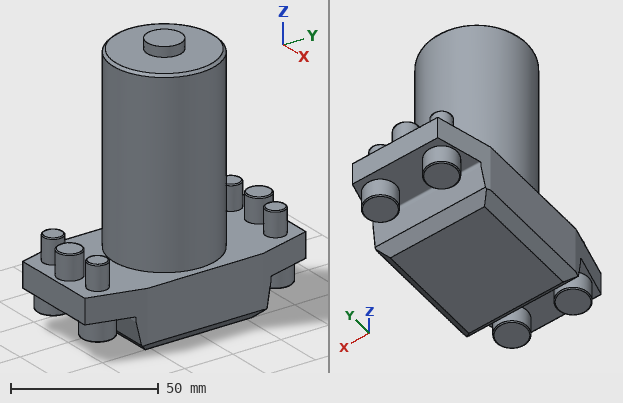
import cadquery as cq

flange_bottom = 15.0
flange_top = 25.0
barrel_top = 99.0
overall_height = 103.0

flange_width = 48.0
flange_length = 92.0
flange_end_width = 36.3
straight_side_length = 48.0

block_top_length = 56.0
block_lower_length = 52.3
block_chamfer = 4.0
block_upright_bottom = 13.0
block_root_radius = 0.6

barrel_diameter = 42.0
barrel_chamfer = 1.0
stub_diameter = 14.0

pin_height = 10.0
dowel_diameter = 9.9
dowel_y = 39.3
screw_diameter = 8.0
screw_head_diameter = 13.0
screw_head_height = 8.0
screw_x = 13.0
screw_y = 37.0
pin_edge_chamfer = 0.4


def cylinder(x, y, bottom, height, diameter):
    return (
        cq.Workplane("XY", origin=(x, y, bottom))
        .circle(diameter / 2)
        .extrude(height)
    )


def tapered_plan(bottom, height):
    """Prism with the tapered-end outline of the flange."""
    half_width = flange_width / 2
    half_length = flange_length / 2
    half_end = flange_end_width / 2
    half_side = straight_side_length / 2
    return (
        cq.Workplane("XY", origin=(0, 0, bottom))
        .polyline([
            (-half_width, -half_side),
            (-half_end, -half_length),
            (half_end, -half_length),
            (half_width, -half_side),
            (half_width, half_side),
            (half_end, half_length),
            (-half_end, half_length),
            (-half_width, half_side),
        ])
        .close()
        .extrude(height)
    )


def make_base():
    """Flange over a block with sloping ends, upright at the top, and a chamfered underside."""
    half_top = block_top_length / 2
    half_lower = block_lower_length / 2
    half_length = flange_length / 2
    half_width = flange_width / 2
    side_profile = (
        cq.Workplane("YZ")
        .polyline([
            (-half_lower + block_chamfer, 0),
            (half_lower - block_chamfer, 0),
            (half_lower, block_chamfer),
            (half_top, block_upright_bottom),
            (half_top, flange_bottom),
            (half_length, flange_bottom),
            (half_length, flange_top),
            (-half_length, flange_top),
            (-half_length, flange_bottom),
            (-half_top, flange_bottom),
            (-half_top, block_upright_bottom),
            (-half_lower, block_chamfer),
        ])
        .close()
        .extrude(half_width, both=True)
    )
    root_reach = 2 * block_root_radius
    root_edges = cq.selectors.BoxSelector(
        (-half_width, -half_top - root_reach, flange_bottom - root_reach),
        (half_width, half_top + root_reach, flange_bottom + root_reach),
    )
    side_profile = side_profile.edges("|X").edges(root_edges).fillet(block_root_radius)
    end_profile = (
        cq.Workplane("XZ")
        .polyline([
            (-half_width + block_chamfer, 0),
            (half_width - block_chamfer, 0),
            (half_width, block_chamfer),
            (half_width, flange_top),
            (-half_width, flange_top),
            (-half_width, block_chamfer),
        ])
        .close()
        .extrude(half_length, both=True)
    )
    return tapered_plan(0, flange_top).intersect(side_profile).intersect(end_profile)


def make_barrel():
    barrel = cylinder(0, 0, flange_top, barrel_top - flange_top, barrel_diameter)
    barrel = barrel.faces(">Z").chamfer(barrel_chamfer)
    stub = cylinder(0, 0, barrel_top, overall_height - barrel_top, stub_diameter)
    return barrel.union(stub)


def make_dowel(y):
    dowel = cylinder(0, y, flange_top, pin_height, dowel_diameter)
    return dowel.faces(">Z").chamfer(pin_edge_chamfer)


def make_screw(x, y):
    """Screw end above the flange and its head below."""
    tip = cylinder(x, y, flange_top, pin_height, screw_diameter)
    tip = tip.faces(">Z").chamfer(pin_edge_chamfer)
    head_bottom = flange_bottom - screw_head_height
    head = cylinder(x, y, head_bottom, screw_head_height, screw_head_diameter)
    head = head.faces("<Z").chamfer(pin_edge_chamfer)
    return tip, head


result = make_base().union(make_barrel())
for side in (-1, 1):
    result = result.union(make_dowel(side * dowel_y))
    for x in (-screw_x, screw_x):
        for piece in make_screw(x, side * screw_y):
            result = result.union(piece)